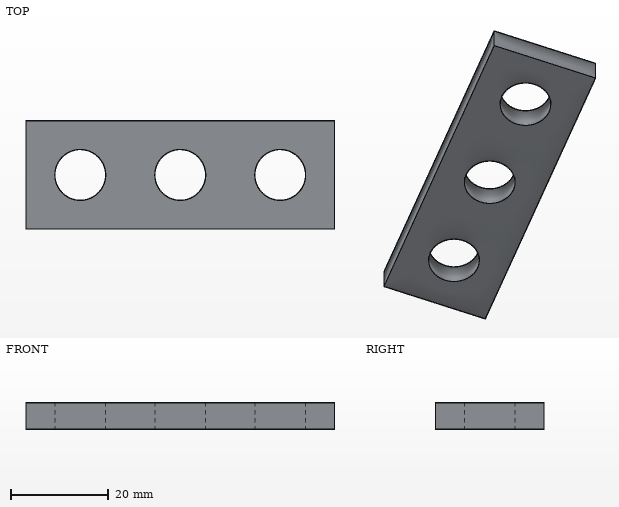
import cadquery as cq

length = 63.5
width = 22.35
thickness = 5.5

hole_diameter = 10.4
hole_pitch = 20.6
hole_count = 3

bar = cq.Workplane("XY").box(length, width, thickness)

result = (
    bar.faces(">Z")
    .workplane()
    .rarray(hole_pitch, width, hole_count, 1)
    .hole(hole_diameter)
)